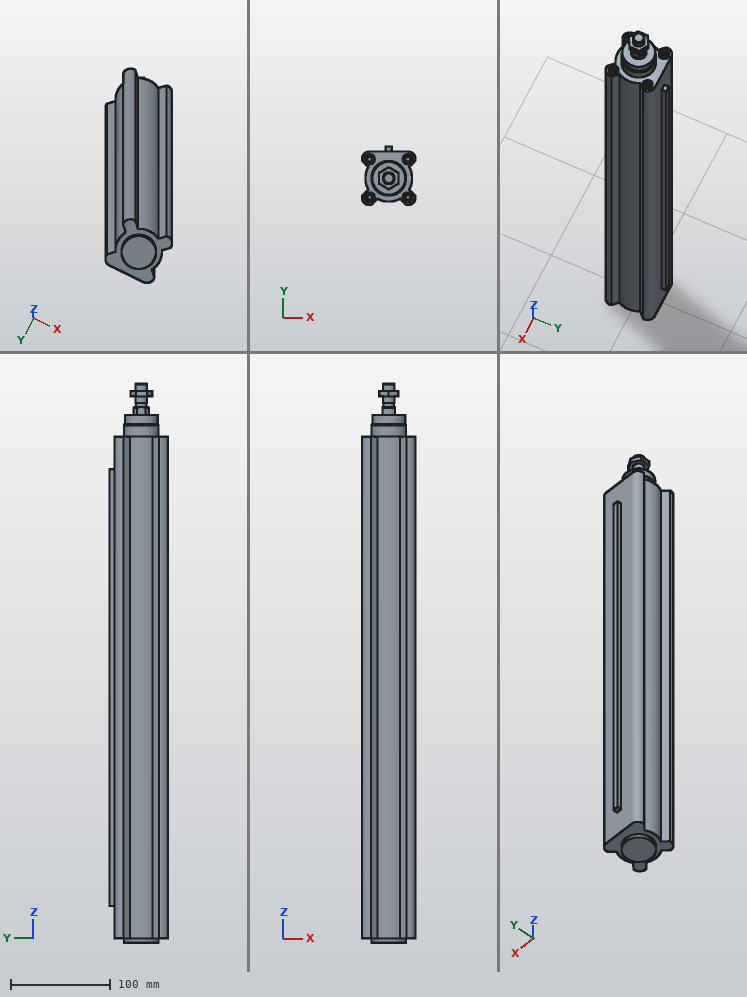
import cadquery as cq
import math

total_height = 562.0
barrel_bottom = 4.5
barrel_top = 508.5
nose_step_bottom = 520.0
nose_step_top = 521.5
collar_top = 530.5
rod_shoulder = 538.5
thread_bottom = 542.0
nut_bottom = 549.0

barrel_width = 54.0
lobe_diameter = 16.0
lobe_web_width = 13.0
bulge_diameter = 47.0
barrel_length = barrel_top - barrel_bottom
lobe_offset = (barrel_width - lobe_diameter) / 2

bolt_steps = [(10.0, 1.5), (6.0, 6.0), (4.95, 17.0)]

rail_width = 6.0
rail_height = 5.0
rail_bottom = 37.0
rail_top = 476.0

collar_diameter = 35.0
collar_nose_diameter = 33.0

rod_diameter = 16.0
rod_flat_width = 13.0
rod_chamfer = 1.0
neck_diameter = 10.5
thread_diameter = 12.0
thread_chamfer = 0.85

nut_flat_width = 19.0
nut_thickness = 5.5


def cylinder(diameter, bottom, top):
    """Upright cylinder on the axis between two heights."""
    return cq.Workplane("XY").workplane(offset=bottom).circle(diameter / 2).extrude(top - bottom)


def make_lobe(angle):
    """Diagonal web that ends in the lobe's round, turned to one corner."""
    lobe_radius = lobe_diameter / 2
    lobe_distance = lobe_offset * math.sqrt(2)
    half_web = lobe_web_width / 2
    web_end = lobe_distance + math.sqrt(lobe_radius**2 - half_web**2)
    return (
        cq.Workplane("XY")
        .workplane(offset=barrel_bottom)
        .moveTo(0, -half_web)
        .lineTo(web_end, -half_web)
        .threePointArc((lobe_distance + lobe_radius, 0), (web_end, half_web))
        .lineTo(0, half_web)
        .close()
        .extrude(barrel_length)
        .rotate((0, 0, 0), (0, 0, 1), angle)
    )


def make_profile():
    """Round bulge, four corner lobes and the wall that closes the flat +Y side."""
    flat_side = cq.Workplane("XY").box(
        2 * lobe_offset, barrel_width / 2, barrel_length, centered=(True, False, False)
    )
    profile = cylinder(bulge_diameter, barrel_bottom, barrel_top)
    profile = profile.union(flat_side.translate((0, 0, barrel_bottom)))
    for angle in (45, 135, 225, 315):
        profile = profile.union(make_lobe(angle))
    return profile


def cut_bolt_recesses(barrel):
    """Stepped recess for a tie bolt in the top of each lobe."""
    for diameter, depth in bolt_steps:
        recesses = (
            cq.Workplane("XY")
            .workplane(offset=barrel_top - depth)
            .rect(2 * lobe_offset, 2 * lobe_offset, forConstruction=True)
            .vertices()
            .circle(diameter / 2)
            .extrude(depth)
        )
        barrel = barrel.cut(recesses)
    return barrel


def make_rail():
    """Sensor rail standing on the flat +Y side."""
    return (
        cq.Workplane("XY")
        .box(rail_width, rail_height, rail_top - rail_bottom, centered=(True, False, False))
        .translate((0, barrel_width / 2, rail_bottom))
    )


def make_collar():
    """Upper guide collar with a slightly narrower nose above a small cone."""
    collar_radius = collar_diameter / 2
    nose_radius = collar_nose_diameter / 2
    return (
        cq.Workplane("XZ")
        .moveTo(0, collar_top)
        .lineTo(nose_radius, collar_top)
        .lineTo(nose_radius, nose_step_top)
        .lineTo(collar_radius, nose_step_bottom)
        .lineTo(collar_radius, barrel_top)
        .lineTo(0, barrel_top)
        .close()
        .revolve(360, (0, 0, 0), (0, 1, 0))
    )


def make_rod_shank():
    """Rod end that fills the collar bore, with two wrench flats above the collar."""
    shank = cylinder(rod_diameter, barrel_top, rod_shoulder)
    shank = shank.faces(">Z").chamfer(rod_chamfer)
    flats = cq.Workplane("XY").box(
        rod_flat_width, rod_diameter, rod_shoulder - collar_top, centered=(True, True, False)
    )
    flats = flats.translate((0, 0, collar_top))
    return shank.intersect(flats.union(cylinder(rod_diameter, barrel_top, collar_top)))


def make_rod():
    """Piston rod with its neck and threaded end."""
    thread = cylinder(thread_diameter, thread_bottom, total_height)
    thread = thread.faces(">Z").chamfer(thread_chamfer)
    neck = cylinder(neck_diameter, rod_shoulder, thread_bottom)
    return make_rod_shank().union(neck).union(thread)


def make_housing():
    """Barrel with its collars and rail, bored for the rod."""
    housing = cut_bolt_recesses(make_profile())
    housing = housing.union(make_rail())
    housing = housing.union(cylinder(collar_diameter, 0, barrel_bottom))
    housing = housing.union(make_collar())
    return housing.cut(cylinder(rod_diameter, barrel_top, collar_top))


def make_nut():
    """Hexagon lock nut with two flats facing along X."""
    across_corners = nut_flat_width / math.cos(math.radians(30))
    return (
        cq.Workplane("XY")
        .workplane(offset=nut_bottom)
        .polygon(6, across_corners)
        .circle(thread_diameter / 2)
        .extrude(nut_thickness)
        .rotate((0, 0, 0), (0, 0, 1), 30)
    )


housing = make_housing()
rod = make_rod()
lock_nut = make_nut()
result = cq.Compound.makeCompound([housing.val(), rod.val(), lock_nut.val()])